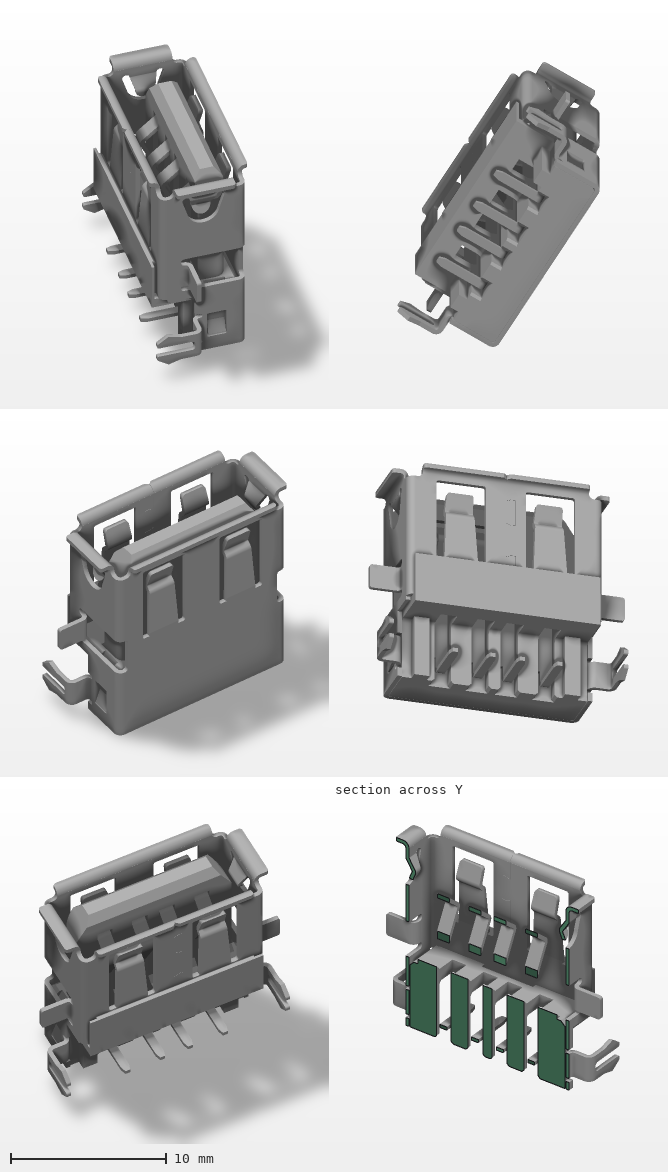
import cadquery as cq
import math


total_height = 14.0
sheet = 0.3
bend_inner = 0.2
shell_half_x = 6.55
shell_half_y = 2.9
shell_corner = 0.5
inner_half_x = shell_half_x - sheet
inner_half_y = shell_half_y - sheet
wall_mid_x = shell_half_x - sheet / 2
wall_mid_y = shell_half_y - sheet / 2
reach = 10.26
overlap = 0.17
nearly_half = 0.49

corner_top = 13.2
flange_half_x = 5.57
flange_half_y = 1.98
flange_reach_x = 7.3
flange_reach_y = 3.3
flange_rounding = 0.2
notch_rounding = 0.35

window_mid_x = 3.0
window_width = 3.32
window_bottom = 7.42
window_top = 13.08
window_rounding = 0.15
spring_root_z = 7.65
spring_bend_z = 10.8
spring_crest_z = 11.18
spring_tip_z = 12.45
spring_shoulder_y = 2.55
spring_crest_y = 2.17
spring_tip_y = 2.6
spring_bend = 0.09
spring_tip_rounding = 0.27
spring_half_root = 1.15
spring_half_bend = 0.95
spring_half_tip = 0.89

side_spring_root_z = 12.75
side_slot_half_top = 1.42
side_slot_half_low = 1.08
side_slot_low_z = 11.68
side_slot_bottom = 10.74
side_spring_half_root = 0.89
side_spring_half_low = 0.63
side_spring_crest_x = 5.85
side_spring_crest_z = 11.9
side_spring_tip_x = 6.19
side_spring_tip_z = 11.25
side_spring_bend = 0.05

opening_bottom = 5.28
opening_top = 7.93
opening_inner_x = 5.81
opening_rounding = 0.22
lug_bottom = 5.76
lug_top = 7.42
lug_tip_x = 8.55
lug_mid_y = -0.9
lug_rounding = 0.17
lug_relief_y = -1.52

front_wall_bottom = 4.8
side_step_z = 4.58
side_step_y = -2.38
lower_side_y = -0.55

latch_y = (0.24, 1.57)
latch_z = (1.03, 2.98)
latch_rounding = 0.1

lock_mid_z = 1.83
lock_half_height = 0.92
lock_plate_y = -0.6
lock_leg_x = 7.87
lock_shoulder_y = -1.97
lock_barb_y = -2.8
lock_barb_half = 1.16
lock_tip_y = -3.55
lock_tip_half = 0.65
lock_tip_rounding = 0.12
lock_slot_half = 0.35
lock_slot_root_y = -1.0
lock_slot_rounding = 0.24
lock_relief = 0.3
lock_relief_y = -0.05

seam_gap = 0.02
seam_key = 0.67
seam_key_z = (12.38, 10.57, 8.41)
seam_undercut = 0.14
seam_notch_half = 0.24
seam_notch_depth = 0.2

housing_half_x = 6.2
housing_back_y = 2.58
housing_corner = 0.24
floor_bottom = 4.12
floor_top = 5.06
floor_bevel = 0.32
front_bevel_half = 2.05
plate_front_y = -3.35
plate_top = 7.49
plate_chamfer = 0.17
plate_neck_half = 5.65
plate_lip = 0.17
floor_corner_relief = 0.05
leg_front_y = -0.45
leg_fillet = 0.24
leg_corner = 0.17
rib_x = (4.55, 5.57)
rib_front_y = -1.06
lead_in_x = 5.7
lead_in_y = (0.24, 1.68)
latch_tooth_y = (0.35, 1.52)
latch_tooth_z = (1.2, 2.12)

tongue_half_x = 5.57
tongue_front_y = -0.05
tongue_back_y = 1.85
tongue_top = 13.39
tongue_rounding = 0.68
tongue_shoulder_z = 12.8
tongue_tip_y = (0.43, 1.33)
tongue_tip_half_x = 4.45
tongue_side_z = 11.65
tongue_base_z = 5.47

contact_pitch = 2.0
contact_outer_x = 3.5
contact_xs = (-contact_outer_x, -contact_pitch / 2, contact_pitch / 2, contact_outer_x)
contact_width = 1.0
contact_thickness = 0.27
contact_bend = 0.17
contact_back_y = 0.35
contact_crest_y = -1.18
contact_crest_z = 9.92
contact_spring_z = 7.18
contact_tip_z = 11.34
contact_neck_z = 1.93
tail_width = 0.58
tail_mid_z = 1.0
tail_tip_y = -3.3
tail_taper = 0.41
tail_tip_width = 0.35
slot_limits = ((-4.04, -2.92), (-1.55, -0.4), (0.4, 1.55), (2.92, 4.04))
slot_top = 11.68
slot_floor_front_y = -1.83


def bent_strip(plane, path, thickness, inner_radius):
    """Outline of a sheet seen edge-on, following a centre path with rounded bends."""
    half = thickness / 2
    mid_radius = inner_radius + half

    def heading(a, b):
        length = math.dist(a, b)
        return ((b[0] - a[0]) / length, (b[1] - a[1]) / length)

    def shifted(point, direction, offset):
        return (point[0] - direction[1] * offset, point[1] + direction[0] * offset)

    headings = [heading(a, b) for a, b in zip(path, path[1:])]

    def side_curves(offset):
        """Start point of one long side, then its arcs as (start, middle, end), then its end point."""
        arcs = []
        for corner, d0, d1 in zip(path[1:-1], headings, headings[1:]):
            cross = d0[0] * d1[1] - d0[1] * d1[0]
            turn = math.atan2(cross, d0[0] * d1[0] + d0[1] * d1[1])
            back = mid_radius * math.tan(abs(turn) / 2)
            start = (corner[0] - d0[0] * back, corner[1] - d0[1] * back)
            centre = shifted(start, d0, math.copysign(mid_radius, turn))
            radius = math.copysign(mid_radius, turn) - offset
            arc = []
            for part in (0, 0.5, 1):
                angle = math.atan2(d0[1], d0[0]) + turn * part
                arc.append((centre[0] + math.sin(angle) * radius, centre[1] - math.cos(angle) * radius))
            arcs.append(arc)
        return shifted(path[0], headings[0], offset), arcs, shifted(path[-1], headings[-1], offset)

    start, left_arcs, left_end = side_curves(half)
    right_start, right_arcs, right_end = side_curves(-half)
    outline = cq.Workplane(plane).moveTo(*start)
    for first, middle, last in left_arcs:
        outline = outline.lineTo(*first).threePointArc(middle, last)
    outline = outline.lineTo(*left_end).lineTo(*right_end)
    for first, middle, last in reversed(right_arcs):
        outline = outline.lineTo(*last).threePointArc(middle, first)
    return outline.lineTo(*right_start).close()


def block(x, y, z):
    """Box between two limits on each axis."""
    size = (x[1] - x[0], y[1] - y[0], z[1] - z[0])
    return cq.Workplane("XY").box(*size, centered=False).translate((x[0], y[0], z[0]))


def both_sides(body):
    """A shape at +X together with its mirror image at -X."""
    return body.union(body.mirror("YZ"))


def front_and_back(body):
    """A shape at -Y together with its mirror image at +Y."""
    return body.union(body.mirror("XZ"))


def shell_tube():
    outer = cq.Workplane("XY").rect(2 * shell_half_x, 2 * shell_half_y).extrude(corner_top + notch_rounding)
    outer = outer.edges("|Z").fillet(shell_corner)
    inner = cq.Workplane("XY").rect(2 * inner_half_x, 2 * inner_half_y).extrude(total_height)
    inner = inner.edges("|Z").fillet(shell_corner - sheet)
    return outer.cut(inner)


def mouth_flange(wall_mid, flange_reach, half_width):
    """Outward flange on a wall facing +X."""
    lip_z = total_height - sheet / 2
    path = [(wall_mid, corner_top), (wall_mid, lip_z), (flange_reach, lip_z)]
    flange = bent_strip("XZ", path, sheet, bend_inner).extrude(half_width, both=True)
    return flange.edges(">X and |Z").fillet(flange_rounding)


def corner_notch():
    """Gap between two neighbouring flanges, rounded at the bottom."""
    notch = block((flange_half_x, reach), (flange_half_y, reach), (corner_top, reach + corner_top))
    notch = notch.faces("<Z").edges("<X or <Y").fillet(notch_rounding)
    return front_and_back(both_sides(notch))


def wall_windows():
    middle_z = (window_bottom + window_top) / 2
    windows = (
        cq.Workplane("XZ")
        .pushPoints([(-window_mid_x, middle_z), (window_mid_x, middle_z)])
        .rect(window_width, window_top - window_bottom)
        .extrude(reach, both=True)
    )
    return windows.edges("|Y").fillet(window_rounding)


def wall_springs():
    path = [
        (-wall_mid_y, window_bottom - overlap),
        (-wall_mid_y, spring_root_z),
        (-spring_shoulder_y, spring_bend_z),
        (-spring_crest_y, spring_crest_z),
        (-spring_tip_y, spring_tip_z),
    ]
    strip = bent_strip("YZ", path, sheet, spring_bend).extrude(spring_half_root, both=True)
    right_edge = [
        (spring_half_root, window_bottom - overlap),
        (spring_half_bend, spring_bend_z),
        (spring_half_tip, spring_tip_z),
    ]
    left_edge = [(-x, z) for x, z in reversed(right_edge)]
    outline = cq.Workplane("XZ").polyline(right_edge + left_edge).close().extrude(reach, both=True)
    outline = outline.faces(">Z").edges("|Y").fillet(spring_tip_rounding)
    spring = strip.intersect(outline)
    return front_and_back(both_sides(spring.translate((window_mid_x, 0, 0))))


def side_spring_slot():
    """U-shaped slot, together with the area of the spring inside it."""
    arm_mid = (side_slot_half_top + side_spring_half_root) / 2
    arm_top = side_spring_root_z + (side_slot_half_top - side_spring_half_root) / 2
    return (
        cq.Workplane("YZ")
        .moveTo(-side_slot_half_low, side_slot_low_z)
        .lineTo(-side_slot_half_top, side_spring_root_z)
        .threePointArc((-arm_mid, arm_top), (-side_spring_half_root, side_spring_root_z))
        .lineTo(side_spring_half_root, side_spring_root_z)
        .threePointArc((arm_mid, arm_top), (side_slot_half_top, side_spring_root_z))
        .lineTo(side_slot_half_low, side_slot_low_z)
        .threePointArc((0, side_slot_bottom), (-side_slot_half_low, side_slot_low_z))
        .close()
        .extrude(reach, both=True)
    )


def side_springs():
    path = [
        (wall_mid_x, side_spring_root_z + overlap),
        (wall_mid_x, side_spring_root_z),
        (side_spring_crest_x, side_spring_crest_z),
        (side_spring_tip_x, side_spring_tip_z - overlap),
    ]
    strip = bent_strip("XZ", path, sheet, side_spring_bend).extrude(reach, both=True)
    outline = (
        cq.Workplane("YZ")
        .moveTo(-side_spring_half_low, side_spring_crest_z)
        .lineTo(-side_spring_half_root, side_spring_root_z)
        .lineTo(-side_spring_half_root, side_spring_root_z + overlap)
        .lineTo(side_spring_half_root, side_spring_root_z + overlap)
        .lineTo(side_spring_half_root, side_spring_root_z)
        .lineTo(side_spring_half_low, side_spring_crest_z)
        .threePointArc((0, side_spring_tip_z), (-side_spring_half_low, side_spring_crest_z))
        .close()
        .extrude(reach)
    )
    return both_sides(strip.intersect(outline))


def side_openings():
    """Openings left behind by the lugs, with a round-ended relief above and below each lug."""
    bend_start_y = lug_mid_y - sheet / 2 - bend_inner
    opening = block((opening_inner_x, reach), (bend_start_y, reach), (opening_bottom, opening_top))
    opening = opening.edges("<X and |Y").fillet(opening_rounding)
    for low, high in ((opening_bottom, lug_bottom), (lug_top, opening_top)):
        relief = block((inner_half_x - overlap, reach), (lug_relief_y, bend_start_y + overlap), (low, high))
        opening = opening.union(relief.faces("<Y").edges("|X").fillet(nearly_half * (high - low)))
    return both_sides(opening)


def side_lugs():
    path = [(wall_mid_x, lug_relief_y), (wall_mid_x, lug_mid_y), (lug_tip_x, lug_mid_y)]
    lug = bent_strip("XY", path, sheet, bend_inner).extrude(lug_top - lug_bottom)
    lug = lug.edges(">X and |Y").fillet(lug_rounding).translate((0, 0, lug_bottom))
    return both_sides(lug)


def lower_cutaway():
    """Removes the lower front: the front wall ends high and the side walls step back."""
    below_front = block((-reach, reach), (-reach, side_step_y), (-overlap, front_wall_bottom))
    below_side = block((-reach, reach), (-reach, lower_side_y), (-overlap, side_step_z))
    return below_front.union(below_side)


def latch_windows():
    window = block((-reach, reach), latch_y, latch_z)
    return window.edges("|X").fillet(latch_rounding)


def lock_clearance():
    """Frees the side wall around each board lock, with round-ended reliefs above and below it."""
    bend_start_y = lock_plate_y + sheet / 2 + bend_inner
    low = lock_mid_z - lock_half_height
    high = lock_mid_z + lock_half_height
    clearance = block((-reach, reach), (-reach, bend_start_y), (low, high))
    for base in (low - lock_relief, high):
        relief = block((-reach, reach), (-reach, lock_relief_y), (base, base + lock_relief))
        clearance = clearance.union(relief.faces(">Y").edges("|X").fillet(nearly_half * lock_relief))
    return clearance


def board_locks():
    """Folded straps ending in forked, barbed legs that point towards -Y."""
    path = [
        (wall_mid_x, 0),
        (wall_mid_x, lock_plate_y),
        (lock_leg_x, lock_plate_y),
        (lock_leg_x, lock_tip_y),
    ]
    strap = bent_strip("XY", path, sheet, bend_inner).extrude(2 * lock_mid_z)
    upper_edge = [
        (0, lock_half_height),
        (lock_shoulder_y, lock_half_height),
        (lock_barb_y, lock_barb_half),
        (lock_tip_y, lock_tip_half),
    ]
    lower_edge = [(y, -z) for y, z in reversed(upper_edge)]
    outline = cq.Workplane("YZ").polyline(upper_edge + lower_edge).close().extrude(reach)
    fork = block((0, reach), (-reach, lock_slot_root_y), (-lock_slot_half, lock_slot_half))
    fork = fork.faces(">Y").edges("|X").fillet(lock_slot_rounding)
    legs = outline.cut(fork).edges("<Y and |X").fillet(lock_tip_rounding)
    lock = strap.intersect(legs.translate((0, 0, lock_mid_z)))
    return both_sides(lock)


def seam():
    """Fine interlocking gap down the front wall, opening into a notch in the flange."""
    upper, middle, lower = seam_key_z
    path = [
        (0, total_height + overlap),
        (0, upper - seam_undercut),
        (seam_key / 2, upper),
        (seam_key, upper),
        (seam_key, middle),
        (seam_key / 2, middle),
        (0, middle + seam_undercut),
        (0, lower - seam_undercut),
        (seam_key / 2, lower),
        (seam_key, lower),
        (seam_key, 0),
    ]
    gap = bent_strip("XZ", path, seam_gap, seam_gap).extrude(reach)
    notch = (
        cq.Workplane("XY")
        .polyline([
            (-seam_notch_half, -flange_reach_y),
            (seam_notch_half, -flange_reach_y),
            (0, seam_notch_depth - flange_reach_y),
        ])
        .close()
        .extrude(total_height)
    )
    return gap.union(notch)


def make_shell():
    side_flange = mouth_flange(wall_mid_x, flange_reach_x, flange_half_y)
    back_flange = mouth_flange(wall_mid_y, flange_reach_y, flange_half_x)
    back_flange = back_flange.rotate((0, 0, 0), (0, 0, 1), 90)
    shell = shell_tube().cut(corner_notch())
    shell = shell.union(both_sides(side_flange)).union(front_and_back(back_flange)).cut(corner_notch())
    shell = shell.cut(wall_windows()).cut(side_spring_slot())
    shell = shell.cut(side_openings()).cut(lower_cutaway())
    shell = shell.cut(latch_windows()).cut(lock_clearance())
    shell = shell.union(wall_springs()).union(side_springs())
    shell = shell.union(side_lugs()).union(board_locks())
    return shell.cut(seam())


def housing_base():
    """Legs, floor and front plate as one section along X."""
    fillet_mid = leg_fillet * (1 - math.sqrt(0.5))
    return (
        cq.Workplane("YZ")
        .moveTo(housing_back_y, 0)
        .lineTo(leg_front_y, 0)
        .lineTo(leg_front_y, floor_bottom - leg_fillet)
        .threePointArc(
            (leg_front_y - fillet_mid, floor_bottom - fillet_mid),
            (leg_front_y - leg_fillet, floor_bottom),
        )
        .lineTo(plate_front_y, floor_bottom)
        .lineTo(plate_front_y, plate_top)
        .lineTo(-shell_half_y - plate_chamfer, plate_top)
        .lineTo(-shell_half_y, plate_top - plate_chamfer)
        .lineTo(-shell_half_y, front_wall_bottom)
        .lineTo(-inner_half_y, front_wall_bottom)
        .lineTo(-inner_half_y, floor_top)
        .lineTo(housing_back_y - floor_bevel, floor_top)
        .lineTo(housing_back_y, floor_top - floor_bevel)
        .close()
        .extrude(housing_half_x, both=True)
        .edges("|Z and >Y")
        .fillet(housing_corner)
    )


def floor_side_bevels():
    bevel = (
        cq.Workplane("XZ")
        .polyline([
            (housing_half_x - floor_bevel, floor_top),
            (housing_half_x, floor_top - floor_bevel),
            (housing_half_x, floor_top),
        ])
        .close()
        .extrude(inner_half_y, both=True)
    )
    return both_sides(bevel)


def floor_front_bevel():
    bevel_height = floor_top - front_wall_bottom
    return (
        cq.Workplane("YZ")
        .polyline([
            (-inner_half_y, front_wall_bottom),
            (floor_bevel - inner_half_y, front_wall_bottom + bevel_height),
            (-inner_half_y, front_wall_bottom + bevel_height),
        ])
        .close()
        .extrude(front_bevel_half, both=True)
    )


def plate_undercuts():
    """Clears the front plate from the rounded shell corners, leaving a thin lip in front."""
    undercut = block(
        (plate_neck_half, reach),
        (plate_front_y + plate_lip, floor_corner_relief - inner_half_y),
        (front_wall_bottom, plate_top),
    )
    return both_sides(undercut)


def lead_in_bevels():
    """Deeper local bevels in the floor edges above the latch teeth."""
    bevel = (
        cq.Workplane("XZ")
        .polyline([(lead_in_x, floor_top), (housing_half_x, floor_bottom), (housing_half_x, floor_top)])
        .close()
        .extrude(lead_in_y[0] - lead_in_y[1])
        .translate((0, lead_in_y[0], 0))
    )
    return both_sides(bevel)


def latch_teeth():
    """Wedges that fill the shell's latch windows flush with its outside."""
    tooth = (
        cq.Workplane("XZ")
        .polyline([
            (housing_half_x, latch_tooth_z[0]),
            (shell_half_x, latch_tooth_z[0]),
            (housing_half_x, latch_tooth_z[1]),
        ])
        .close()
        .extrude(latch_tooth_y[0] - latch_tooth_y[1])
        .translate((0, latch_tooth_y[0], 0))
    )
    return both_sides(tooth)


def front_ribs():
    return both_sides(block(rib_x, (rib_front_y, leg_front_y), (0, floor_bottom)))


def make_tongue():
    plan = block((-tongue_half_x, tongue_half_x), (leg_front_y, tongue_back_y), (floor_bottom, tongue_top))
    plan = plan.edges("|Z and >Y").fillet(tongue_rounding)
    depth_section = (
        cq.Workplane("YZ")
        .polyline([
            (tongue_back_y, floor_bottom),
            (tongue_back_y, tongue_shoulder_z),
            (tongue_tip_y[1], tongue_top),
            (tongue_tip_y[0], tongue_top),
            (tongue_front_y, tongue_shoulder_z),
            (tongue_front_y, tongue_base_z),
            (leg_front_y, floor_top),
            (leg_front_y, floor_bottom),
        ])
        .close()
        .extrude(tongue_half_x, both=True)
    )
    right_edge = [
        (tongue_half_x, floor_bottom),
        (tongue_half_x, tongue_side_z),
        (tongue_tip_half_x, tongue_top),
    ]
    left_edge = [(-x, z) for x, z in reversed(right_edge)]
    width_section = cq.Workplane("XZ").polyline(right_edge + left_edge).close().extrude(reach, both=True)
    return plan.intersect(depth_section).intersect(width_section)


def contact_slot(left, right):
    """Channel in the tongue and legs, widened towards -Y through the floor, flared at the bottom."""
    channel = block((left, right), (rib_front_y, contact_back_y), (0, slot_top))
    mouth = block((left, right), (slot_floor_front_y, contact_back_y), (floor_bottom - leg_fillet, floor_top))
    flare_half = (right - left) / 2 + leg_corner
    flare = (
        cq.Workplane("XZ")
        .polyline([(left - leg_corner, 0), ((left + right) / 2, flare_half), (right + leg_corner, 0)])
        .close()
        .extrude(contact_back_y - leg_front_y)
        .translate((0, contact_back_y, 0))
    )
    return channel.union(mouth).union(flare)


def make_housing():
    housing = housing_base().cut(floor_side_bevels()).cut(floor_front_bevel()).cut(plate_undercuts())
    housing = housing.cut(lead_in_bevels()).union(latch_teeth()).union(front_ribs()).union(make_tongue())
    for left, right in slot_limits:
        housing = housing.cut(contact_slot(left, right))
    return housing


def make_contact(x):
    """Spring blade with a narrow tail that turns towards -Y."""
    blade_mid_y = contact_back_y - contact_thickness / 2
    path = [
        (tail_tip_y, tail_mid_z),
        (blade_mid_y, tail_mid_z),
        (blade_mid_y, contact_spring_z),
        (contact_crest_y, contact_crest_z),
        (contact_back_y + overlap, contact_tip_z),
    ]
    strip = bent_strip("YZ", path, contact_thickness, contact_bend).extrude(contact_width / 2, both=True)
    blade = block(
        (-contact_width / 2, contact_width / 2),
        (-reach, contact_back_y),
        (contact_neck_z, slot_top),
    )
    right_edge = [
        (tail_width / 2, contact_back_y),
        (tail_width / 2, tail_tip_y + tail_taper),
        (tail_tip_width / 2, tail_tip_y),
    ]
    left_edge = [(-across, y) for across, y in reversed(right_edge)]
    tail = cq.Workplane("XY").polyline(right_edge + left_edge).close().extrude(contact_neck_z)
    return strip.intersect(blade.union(tail)).translate((x, 0, 0))


shell = make_shell()
housing = make_housing()
contacts = [make_contact(x) for x in contact_xs]

result = cq.Compound.makeCompound([shell.val(), housing.val(), *[contact.val() for contact in contacts]])